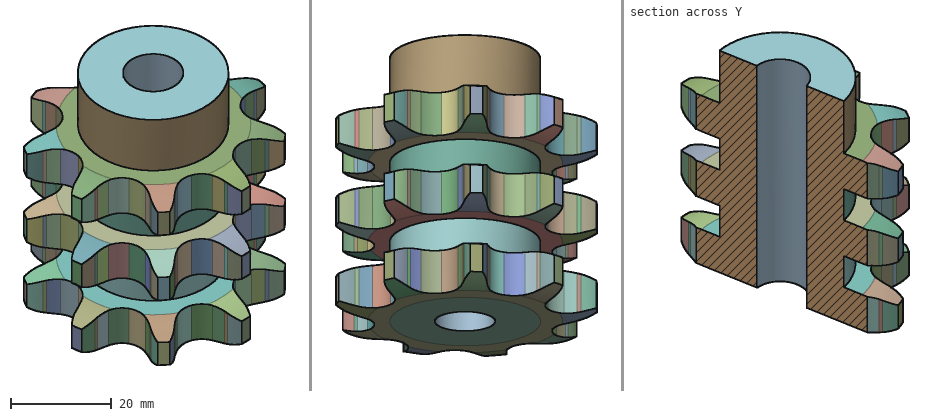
import cadquery as cq
import math

total_height = 55.0
hub_diameter = 30.0
bore_diameter = 12.0

disc_count = 3
disc_thickness = 8.95
disc_spacing = 16.55
tip_radius = 26.3
flat_radius = 19.35
side_round_radius = 16.0

tooth_count = 9
pitch_radius = 23.2
roller_diameter = 10.2
seat_radius = 5.1
half_pitch_angle = 180 / tooth_count
seat_half_angle = 55 - 60 / tooth_count
working_angle = 18 - 56 / tooth_count
working_centre_distance = 0.8 * roller_diameter
topping_centre_distance = 1.4 * roller_diameter


def step(point, distance, angle):
    """Point reached by moving a distance from a point along an angle in degrees."""
    turn = math.radians(angle)
    return (point[0] + distance * math.cos(turn), point[1] + distance * math.sin(turn))


def gap_half_points():
    """Points of the half gap on the +X side of a gap centred on +Y, from root to tip."""
    seat_centre = (0, pitch_radius)
    seat_end_angle = seat_half_angle - 90
    root = step(seat_centre, seat_radius, -90)
    seat_mid = step(seat_centre, seat_radius, (seat_end_angle - 90) / 2)
    seat_end = step(seat_centre, seat_radius, seat_end_angle)

    working_radius = seat_radius + working_centre_distance
    working_centre = step(seat_centre, working_centre_distance, seat_end_angle + 180)
    flank_angle = seat_end_angle + working_angle
    working_mid = step(working_centre, working_radius, seat_end_angle + working_angle / 2)
    working_end = step(working_centre, working_radius, flank_angle)

    topping_centre = step(seat_centre, topping_centre_distance, -half_pitch_angle)
    offset_x = topping_centre[0] - working_end[0]
    offset_y = topping_centre[1] - working_end[1]
    flank_turn = math.radians(flank_angle)
    topping_radius = offset_x * math.cos(flank_turn) + offset_y * math.sin(flank_turn)
    topping_start = step(topping_centre, topping_radius, flank_angle + 180)

    centre_distance = math.hypot(*topping_centre)
    centre_angle = math.degrees(math.atan2(topping_centre[1], topping_centre[0]))
    cos_tip = tip_radius**2 + centre_distance**2 - topping_radius**2
    cos_tip /= 2 * tip_radius * centre_distance
    tip = step((0, 0), tip_radius, centre_angle + math.degrees(math.acos(cos_tip)))
    tip_direction = math.degrees(math.atan2(tip[1] - topping_centre[1], tip[0] - topping_centre[0]))
    topping_mid = step(topping_centre, topping_radius, (flank_angle + 180 + tip_direction) / 2)
    return [root, seat_mid, seat_end, working_mid, working_end, topping_start, topping_mid, tip]


def toothed_prism():
    """Straight-sided toothed outline, one disc thick."""
    right_half = gap_half_points()
    left_half = [(-x, y) for x, y in reversed(right_half)]

    def turned(point, index):
        """Point moved clockwise by a number of tooth pitches."""
        radius = math.hypot(*point)
        angle = math.degrees(math.atan2(point[1], point[0]))
        return step((0, 0), radius, angle - index * 2 * half_pitch_angle)

    outline = cq.Workplane("XY").moveTo(*left_half[0])
    for index in range(tooth_count):
        left = [turned(point, index) for point in left_half]
        right = [turned(point, index) for point in right_half]
        outline = outline.threePointArc(left[1], left[2]).lineTo(*left[3])
        outline = outline.threePointArc(left[4], left[5]).threePointArc(left[6], left[7])
        outline = outline.threePointArc(right[1], right[2]).threePointArc(right[3], right[4])
        outline = outline.lineTo(*right[5]).threePointArc(right[6], right[7])
        tip_mid = step((0, 0), tip_radius, 90 - (2 * index + 1) * half_pitch_angle)
        outline = outline.threePointArc(tip_mid, turned(left_half[0], index + 1))
    return outline.close().extrude(disc_thickness, clean=False)


def rounded_blank():
    """Disc whose faces curve towards each other near the rim."""
    def side_drop(radius):
        """Distance from the flat face plane down to the curved side at a radius."""
        return side_round_radius - math.sqrt(side_round_radius**2 - (radius - flat_radius) ** 2)

    mid_radius = (flat_radius + tip_radius) / 2
    rim_drop = side_drop(tip_radius)
    mid_drop = side_drop(mid_radius)
    return (
        cq.Workplane("XZ")
        .lineTo(flat_radius, 0)
        .threePointArc((mid_radius, mid_drop), (tip_radius, rim_drop))
        .lineTo(tip_radius, disc_thickness - rim_drop)
        .threePointArc((mid_radius, disc_thickness - mid_drop), (flat_radius, disc_thickness))
        .lineTo(0, disc_thickness)
        .close()
        .revolve(360, (0, 0, 0), (0, 1, 0))
    )


toothed_disc = toothed_prism().intersect(rounded_blank(), clean=False)

result = cq.Workplane("XY").circle(hub_diameter / 2).extrude(total_height)
for level in range(disc_count):
    result = result.union(toothed_disc.translate((0, 0, level * disc_spacing)), clean=False)
bore = cq.Workplane("XY").circle(bore_diameter / 2).extrude(total_height)
result = result.cut(bore, clean=False)